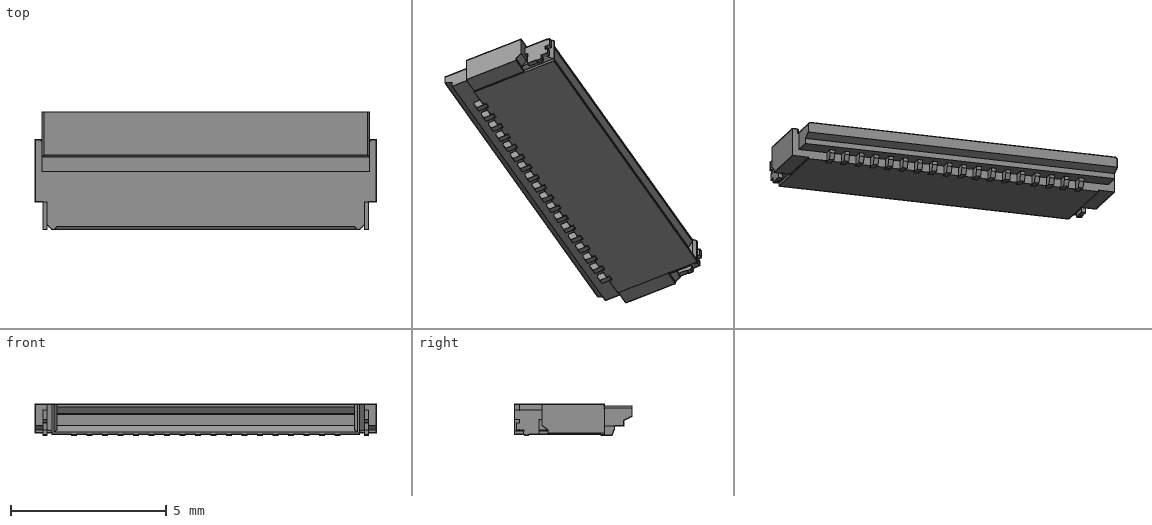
import cadquery as cq


length = 11.0
depth = 3.8
height = 1.0
front_y = -depth / 2
rear_y = depth / 2

standoff = 0.03
body_half = 5.11
base_half = 4.95
base_flare_low_z = 0.13
base_flare_high_z = 0.17
corner_setback = 0.16
body_rear_y = 1.0

ear_half = length / 2
ear_front_y = -1.0
ear_bottom_z = 0.08
ear_slope_y = -0.81
ear_slope_low_z = 0.17
ear_slope_high_z = 0.31
ear_corner_chamfer = 0.06

slot_half = 4.795
slot_lead_in = 0.10
slot_mouth_z = 0.10
slot_floor_z = 0.32
slot_ramp_end_y = -1.6
slot_ceiling_z = 0.70
slot_ceiling_bevel_y = -1.66
slot_ceiling_back_z = 0.675
slot_back_y = 0.3
lip_y = front_y + slot_lead_in
lip_z = 0.91

actuator_half = 5.28
actuator_front_y = 0.44
actuator_top_z = 0.945
actuator_bevel = 0.06
actuator_nose_z = 0.61
actuator_step_y = 1.63
actuator_step_z = 0.48
actuator_bottom_z = 0.305
recess_front_y = -0.02
recess_floor_z = 0.86

tail_count = 18
tail_pitch = 0.5
tail_width = 0.16
tail_front_y = 0.89
tail_rear_y = 1.33
tail_toe_y = 1.25
tail_toe_z = 0.2

plate_outer_x = 5.25
plate_top_z = 0.81
plate_arm_z = 0.515
plate_leg_y = -1.1
plate_foot_y = -1.6
plate_notch_y = -1.73
plate_notch_z = 0.39
plate_corner_cut = 0.03
plate_hook_y = -1.83
plate_hook_z = 0.17
plate_bump_y = -1.5
plate_bump_width = 0.1
plate_bump_slope = 0.04


def side_profile(points, x0, x1):
    """Outline in (y, z), extruded from x0 to x1."""
    return cq.Workplane("YZ").workplane(offset=x0).polyline(points).close().extrude(x1 - x0)


def both_sides(solid):
    """The solid joined with its mirror image across X = 0."""
    return solid.union(solid.mirror("YZ"))


def make_body():
    """Main block, flared above its base and with cut front corners."""
    half_section = [
        (0, standoff),
        (base_half, standoff),
        (base_half, base_flare_low_z),
        (body_half, base_flare_high_z),
        (body_half, height),
        (0, height),
    ]
    half = (
        cq.Workplane("XZ", origin=(0, front_y, 0))
        .polyline(half_section).close()
        .extrude(-(body_rear_y - front_y))
    )
    corner = (
        cq.Workplane("XY")
        .polyline([
            (base_half, front_y),
            (body_half, front_y),
            (body_half, front_y + corner_setback),
        ])
        .close().extrude(height)
    )
    return both_sides(half.cut(corner))


def make_ear():
    """Side ear at +X with a sloped lower front edge."""
    profile = [
        (ear_front_y, height),
        (body_rear_y, height),
        (body_rear_y, ear_bottom_z),
        (ear_slope_y, ear_bottom_z),
        (ear_slope_y, ear_slope_low_z),
        (ear_front_y, ear_slope_high_z),
    ]
    return side_profile(profile, base_half, ear_half)


def make_recess():
    """Shallow pocket in the top that receives the actuator, flared at its rear corners."""
    outline = [
        (0, recess_front_y),
        (actuator_half, recess_front_y),
        (actuator_half, body_rear_y - ear_corner_chamfer),
        (actuator_half + ear_corner_chamfer, body_rear_y),
        (0, body_rear_y),
    ]
    half = (
        cq.Workplane("XY", origin=(0, 0, recess_floor_z))
        .polyline(outline).close().extrude(height - recess_floor_z)
    )
    return both_sides(half)


def make_slot():
    """Cable slot with ramped floor, tapering ceiling, bevelled mouth and set-back upper lip."""
    profile = [
        (front_y, slot_mouth_z),
        (slot_ramp_end_y, slot_floor_z),
        (slot_back_y, slot_floor_z),
        (slot_back_y, slot_ceiling_back_z),
        (slot_ceiling_bevel_y, slot_ceiling_z),
        (lip_y, lip_z),
        (lip_y, height),
        (front_y, height),
    ]
    mouth_half = slot_half + slot_lead_in
    plan = [
        (-mouth_half, front_y),
        (-slot_half, lip_y),
        (-slot_half, slot_back_y),
        (slot_half, slot_back_y),
        (slot_half, lip_y),
        (mouth_half, front_y),
    ]
    plan_prism = cq.Workplane("XY").polyline(plan).close().extrude(height)
    return side_profile(profile, -mouth_half, mouth_half).intersect(plan_prism)


def make_actuator():
    """Rear flap with bevelled front and side top edges."""
    profile = [
        (actuator_front_y, actuator_top_z),
        (rear_y, actuator_top_z),
        (rear_y, actuator_nose_z),
        (actuator_step_y, actuator_step_z),
        (actuator_step_y, actuator_bottom_z),
        (actuator_front_y, actuator_bottom_z),
    ]
    flap = side_profile(profile, -actuator_half, actuator_half)
    top_edges = flap.faces(">Z").edges("<X or >X or <Y")
    return top_edges.chamfer(actuator_bevel)


def make_tail(x):
    """Solder tail centred at x, reaching down to the solder plane."""
    profile = [
        (tail_front_y, 0),
        (tail_toe_y, 0),
        (tail_rear_y, tail_toe_z),
        (tail_rear_y, actuator_bottom_z),
        (tail_front_y, actuator_bottom_z),
    ]
    return side_profile(profile, x - tail_width / 2, x + tail_width / 2)


def make_plate():
    """Hold-down plate at +X with a notched front and a solder bump underneath."""
    bump_rear_y = plate_bump_y + plate_bump_width / 2
    bump_front_y = plate_bump_y - plate_bump_width / 2
    profile = [
        (ear_front_y, plate_top_z),
        (ear_front_y, plate_arm_z),
        (plate_leg_y + plate_corner_cut, plate_arm_z),
        (plate_leg_y, plate_arm_z - plate_corner_cut),
        (plate_leg_y, standoff),
        (bump_rear_y + plate_bump_slope, standoff),
        (bump_rear_y, 0),
        (bump_front_y, 0),
        (plate_foot_y, standoff),
        (plate_foot_y, plate_hook_z),
        (plate_hook_y, plate_hook_z),
        (plate_hook_y, plate_notch_z),
        (plate_notch_y - plate_corner_cut, plate_notch_z),
        (plate_notch_y, plate_notch_z + plate_corner_cut),
        (plate_notch_y, plate_arm_z - plate_corner_cut),
        (plate_notch_y - plate_corner_cut, plate_arm_z),
        (front_y, plate_arm_z),
        (front_y, plate_top_z),
    ]
    return side_profile(profile, body_half, plate_outer_x)


housing = make_body().union(both_sides(make_ear()))
housing = housing.cut(make_recess()).cut(make_slot())

result = housing.union(make_actuator())
for index in range(tail_count):
    tail_x = (index - (tail_count - 1) / 2) * tail_pitch
    result = result.union(make_tail(tail_x))
for plate in (make_plate(), make_plate().mirror("YZ")):
    result = result.union(plate)